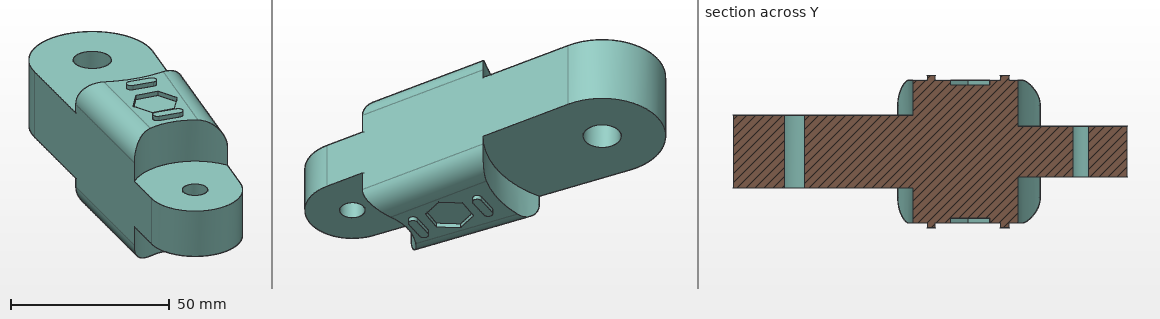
import cadquery as cq
import math

large_radius = 20.0
small_radius = 15.0
small_x = 90.0
small_y = 1.9
large_hole_diameter = 12.0
small_hole_diameter = 8.0

large_thickness = 23.0
small_thickness = 16.0
body_thickness = 45.0
body_fillet = 8.0

large_relief_radius = 37.5
small_relief_radius = 20.0

hexagon_distance = 55.0
hexagon_diameter = 15.1
hexagon_depth = 1.5
hexagon_turn = 3.4
slot_spacing = 23.1
slot_middle_distance = 54.6
slot_length = 10.0
slot_width = 3.0
slot_height = 1.5

center_distance = math.hypot(small_x, small_y)
axis_angle = math.atan2(small_y, small_x)
body_top = body_thickness / 2


def on_axis(distance):
    """Point on the line through both eyes, measured from the large eye."""
    return (distance * math.cos(axis_angle), distance * math.sin(axis_angle))


def on_circle(center, radius, angle):
    return (center[0] + radius * math.cos(angle), center[1] + radius * math.sin(angle))


large_center = (0, 0)
small_center = (small_x, small_y)


def link_blank():
    """Two eye arcs joined by their common tangents, with rounded upper and lower edges."""
    tangent_angle = math.acos((large_radius - small_radius) / center_distance)
    upper = axis_angle + tangent_angle
    lower = axis_angle - tangent_angle
    return (
        cq.Workplane("XY", origin=(0, 0, -body_top))
        .moveTo(*on_circle(large_center, large_radius, lower))
        .lineTo(*on_circle(small_center, small_radius, lower))
        .threePointArc(
            on_circle(small_center, small_radius, axis_angle),
            on_circle(small_center, small_radius, upper),
        )
        .lineTo(*on_circle(large_center, large_radius, upper))
        .threePointArc(
            on_circle(large_center, large_radius, axis_angle + math.pi),
            on_circle(large_center, large_radius, lower),
        )
        .close()
        .extrude(body_thickness)
        .faces("|Z")
        .edges()
        .fillet(body_fillet)
    )


def eye_reliefs(center, radius, eye_thickness):
    """Discs above and below an eye that leave it at its own thickness."""
    relief_height = (body_thickness - eye_thickness) / 2
    upper_disc = (
        cq.Workplane("XY", origin=(*center, eye_thickness / 2)).circle(radius).extrude(relief_height)
    )
    return with_mirror(upper_disc)


def eye_hole(center, diameter):
    return cq.Workplane("XY").center(*center).circle(diameter / 2).extrude(body_top, both=True)


def with_mirror(solid):
    """The solid together with its copy on the opposite body face."""
    return solid.union(solid.mirror("XY"))


def hexagon_recesses():
    turn = 90 + hexagon_turn
    recess = (
        cq.Workplane("XY")
        .polygon(6, hexagon_diameter)
        .extrude(-hexagon_depth)
        .rotate((0, 0, 0), (0, 0, 1), turn)
        .translate((*on_axis(hexagon_distance), body_top))
    )
    return with_mirror(recess)


def raised_slot(distance):
    turn = 90 + math.degrees(axis_angle)
    slot = (
        cq.Workplane("XY")
        .slot2D(slot_length, slot_width)
        .extrude(slot_height)
        .rotate((0, 0, 0), (0, 0, 1), turn)
        .translate((*on_axis(distance), body_top))
    )
    return with_mirror(slot)


result = link_blank()
result = result.cut(eye_reliefs(large_center, large_relief_radius, large_thickness))
result = result.cut(eye_reliefs(small_center, small_relief_radius, small_thickness))
result = result.cut(eye_hole(large_center, large_hole_diameter))
result = result.cut(eye_hole(small_center, small_hole_diameter))
result = result.cut(hexagon_recesses())
for side in (-1, 1):
    result = result.union(raised_slot(slot_middle_distance + side * slot_spacing / 2))